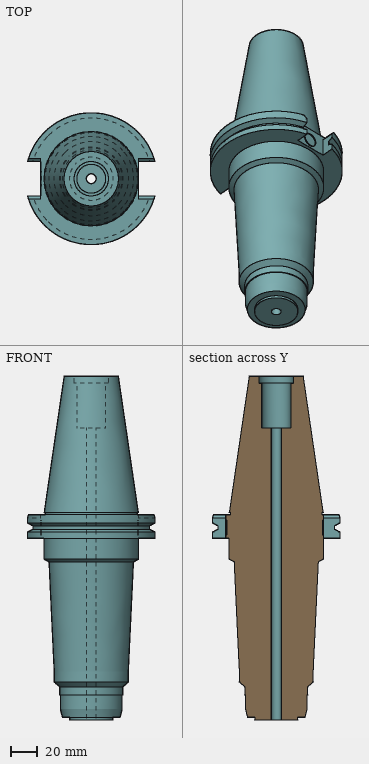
import cadquery as cq

total_height = 256.5
nose_ring_top = 2.0
nose_taper_top = 8.2
nose_top = 19.0
band_top = 24.9
shank_bottom = 28.5
shank_taper_bottom = 36.2
shank_taper_top = 118.0
collar_bottom = 120.0
flange_bottom = 135.6
flange_top = 153.3
taper_bottom = 154.9

nose_ring_radius = 16.2
nose_tip_radius = 21.5
nose_radius = 23.0
band_radius = 23.5
shank_small_radius = 27.7
shank_large_radius = 31.5
collar_radius = 35.5
flange_radius = 49.2
neck_radius = 34.4
taper_large_radius = 35.0
taper_small_radius = 20.3

groove_radius = 45.5
groove_bottom = 140.3
groove_top = 147.0
groove_flank_height = 2.0

slot_floor_plus_x = 35.5
slot_floor_minus_x = 37.7
slot_width = 25.5
slot_chamfer_width = 2.5
slot_chamfer_height = 2.5
dimple_radius = 5.5
dimple_height = (groove_bottom + groove_top) / 2
dimple_depth = 0.8

mouth_radius = 12.8
mouth_depth = 5.0
bore_radius = 10.8
bore_depth = 38.5
through_radius = 3.5


def turned_body():
    profile = [
        (0, 0),
        (nose_ring_radius, 0),
        (nose_ring_radius, nose_ring_top),
        (nose_tip_radius, nose_ring_top),
        (nose_radius, nose_taper_top),
        (nose_radius, nose_top),
        (band_radius, nose_top),
        (band_radius, band_top),
        (shank_small_radius, shank_bottom),
        (shank_small_radius, shank_taper_bottom),
        (shank_large_radius, shank_taper_top),
        (collar_radius, collar_bottom),
        (collar_radius, flange_bottom),
        (flange_radius, flange_bottom),
        (flange_radius, groove_bottom),
        (groove_radius, groove_bottom + groove_flank_height),
        (groove_radius, groove_top - groove_flank_height),
        (flange_radius, groove_top),
        (flange_radius, flange_top),
        (neck_radius, flange_top),
        (neck_radius, taper_bottom),
        (taper_large_radius, taper_bottom),
        (taper_small_radius, total_height),
        (0, total_height),
    ]
    return cq.Workplane("XZ").polyline(profile).close().revolve(360, (0, 0), (0, 1))


def drive_slot(side, floor):
    """Slot with chamfered top edges and a dimple in its floor; side is +1 or -1."""
    half_width = slot_width / 2
    half_mouth = half_width + slot_chamfer_width
    section = [
        (-half_width, flange_bottom),
        (half_width, flange_bottom),
        (half_width, flange_top - slot_chamfer_height),
        (half_mouth, flange_top),
        (-half_mouth, flange_top),
        (-half_width, flange_top - slot_chamfer_height),
    ]
    slot = (
        cq.Workplane("YZ", origin=(side * floor, 0, 0))
        .polyline(section)
        .close()
        .extrude(side * flange_radius)
    )
    dimple = (
        cq.Workplane("YZ", origin=(side * floor, 0, dimple_height))
        .circle(dimple_radius)
        .extrude(-side * dimple_depth)
    )
    return slot.union(dimple)


def bore_step(radius, depth):
    """Cylinder reaching down from the small end."""
    return cq.Workplane("XY", origin=(0, 0, total_height)).circle(radius).extrude(-depth)


result = turned_body()
for side, floor in ((1, slot_floor_plus_x), (-1, slot_floor_minus_x)):
    result = result.cut(drive_slot(side, floor))
for radius, depth in (
    (mouth_radius, mouth_depth),
    (bore_radius, bore_depth),
    (through_radius, total_height),
):
    result = result.cut(bore_step(radius, depth))